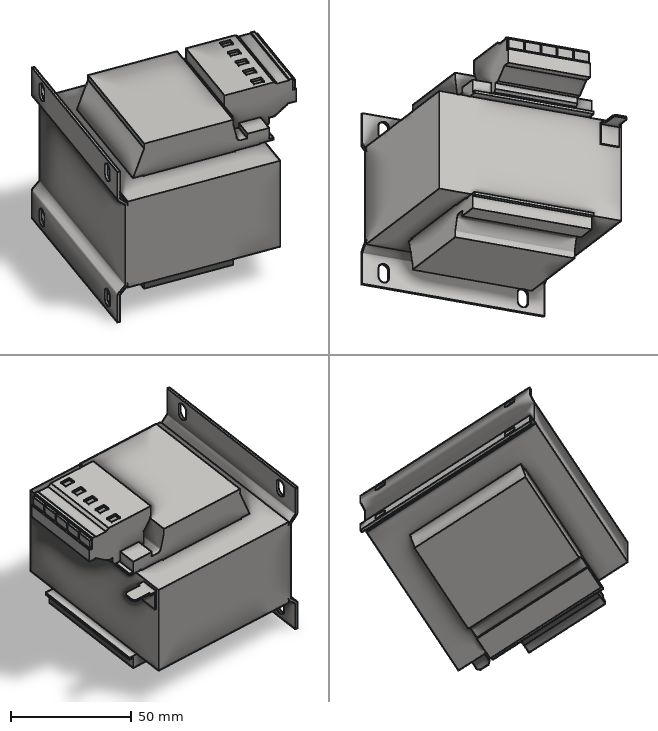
import cadquery as cq
import math


width = 84.0
depth = 92.9
height = 82.7

bracket_height = 76.2
sheet = 1.2
foot_offset = 3.5
back_plate_half = 20.25
bend_inner_radius = 0.9
slot_width = 4.8
slot_length = 8.3
slot_spacing_x = 64.2
slot_spacing_z = 63.45

core_height = 43.6
core_front = foot_offset + sheet
core_back = 74.7
core_half = core_height / 2

window_front = 18.7
window_back = 60.7
coil_width = 55.0
window_gap = 0.4

coil_front = 19.0
coil_back = 59.9
groove_front = 62.0
groove_floor = 26.4
groove_radius = 2.0
rail_front = 66.4
rail_back = 76.5
rail_height = 28.7
lip_back = 78.4
lip_top = 23.2
lip_bottom = 22.1

pole_count = 5
pole_pitch = 7.5
terminal_width = 37.8
terminal_top = height - bracket_height / 2
terminal_front = coil_back
front_slope_top = 38.6
front_slope_bottom = 32.7
stem_front = 63.8
stem_back = 80.45
stem_bottom = 23.5
stem_chamfer = 1.1
underside_front = 82.9
underside_back = 89.2
stem_shoulder = 27.2
entry_bottom = 31.9
entry_top = 38.1
rear_face = 91.3
rear_lip_top = 43.85
rear_lip_front = 89.7
recess_back = 89.6
recess_front = 84.1
recess_floor = 43.5
top_back = 82.6
lever_width = 6.9
lever_back = 92.5
lever_bottom = 38.7
lever_top = 42.7
pocket_width = 3.25
pocket_length = 4.7
pocket_depth = 1.1
pocket_y = 76.8

tab_x = -36.4
tab_sheet = 0.8
tab_bottom = 10.8
tab_top = 20.25
tab_base_width = 8.3
tab_base_back = 77.7
tab_blade_width = 6.3
tab_tip = 85.9
tab_tip_chamfer = 1.0


def box(x_centre, x_size, y_range, z_range):
    """Block centred on x_centre, spanning the given Y and Z ranges."""
    return (
        cq.Workplane("XY")
        .box(x_size, y_range[1] - y_range[0], z_range[1] - z_range[0], centered=(True, False, False))
        .translate((x_centre, y_range[0], z_range[0]))
    )


def extrude_profile(points, x_size):
    """Prism of a (Y, Z) outline, symmetric about X = 0."""
    return cq.Workplane("YZ").polyline(points).close().extrude(x_size / 2, both=True)


def make_bracket():
    half = bracket_height / 2
    bend_out = back_plate_half + foot_offset
    shift = sheet * math.tan(math.radians(22.5))
    outer_half = [(foot_offset, back_plate_half), (0, bend_out), (0, half)]
    inner_half = [(sheet, half), (sheet, bend_out + shift), (core_front, back_plate_half + shift)]
    upper = outer_half + inner_half
    lower = [(y, -z) for y, z in reversed(upper)]
    bracket = extrude_profile(upper + lower, width)

    bend_outer_radius = bend_inner_radius + sheet
    tolerance = 0.01
    for side in (1, -1):
        bends = [
            (foot_offset, back_plate_half, bend_inner_radius),
            (core_front, back_plate_half + shift, bend_outer_radius),
            (0, bend_out, bend_outer_radius),
            (sheet, bend_out + shift, bend_inner_radius),
        ]
        for y, z, radius in bends:
            corner = cq.selectors.BoxSelector(
                (-width, y - tolerance, side * z - tolerance),
                (width, y + tolerance, side * z + tolerance),
            )
            bracket = bracket.edges(corner).fillet(radius)

    slots = (
        cq.Workplane("XZ")
        .rarray(slot_spacing_x, slot_spacing_z, 2, 2)
        .slot2D(slot_length, slot_width, 90)
        .extrude(-sheet)
    )
    return bracket.cut(slots)


def make_core():
    core = box(0, width, (core_front, core_back), (-core_half, core_half))
    for side in (1, -1):
        gap_x = side * (coil_width + window_gap) / 2
        core = core.cut(box(gap_x, window_gap, (window_front, window_back), (-core_half, core_half)))
    return core


def make_coil_overhang(top, shoulder, front_foot, lip_front):
    """Upper overhang of the coil former, from the core face to its top."""
    overhang = extrude_profile(
        [
            (front_foot, core_half),
            (coil_front, shoulder),
            (coil_front, top),
            (coil_back, top),
            (coil_back, shoulder),
            (groove_front, groove_floor),
            (rail_front, groove_floor),
            (rail_front, rail_height),
            (rail_back, rail_height),
            (rail_back, lip_top),
            (lip_back, lip_top),
            (lip_back, lip_bottom),
            (lip_front, lip_bottom),
            (lip_front, core_half),
        ],
        coil_width,
    )
    groove_corner = cq.selectors.NearestToPointSelector((0, groove_front, groove_floor))
    return overhang.edges("|X").edges(groove_corner).fillet(groove_radius)


def make_terminal_block():
    block = extrude_profile(
        [
            (terminal_front, terminal_top),
            (terminal_front, front_slope_top),
            (stem_front, front_slope_bottom),
            (stem_front, stem_bottom),
            (stem_back - stem_chamfer, stem_bottom),
            (stem_back, stem_bottom + stem_chamfer),
            (stem_back, stem_shoulder),
            (underside_front, stem_shoulder),
            (underside_back, entry_bottom),
            (depth, entry_bottom),
            (depth, entry_top),
            (rear_face, entry_top),
            (rear_face, rear_lip_top),
            (rear_lip_front, rear_lip_top),
            (recess_back, recess_floor),
            (recess_front, recess_floor),
            (top_back, terminal_top),
        ],
        terminal_width,
    )
    for pole in range(pole_count):
        pole_x = (pole - (pole_count - 1) / 2) * pole_pitch
        lever = box(pole_x, lever_width, (rear_face, lever_back), (lever_bottom, lever_top))
        pocket = box(
            pole_x,
            pocket_width,
            (pocket_y - pocket_length / 2, pocket_y + pocket_length / 2),
            (terminal_top - pocket_depth, terminal_top),
        )
        block = block.union(lever).cut(pocket)
    return block


def make_earth_tab():
    blade_z = (tab_top - tab_sheet, tab_top)
    upright = box(tab_x, tab_base_width, (core_back, core_back + tab_sheet), (tab_bottom, tab_top))
    base = box(tab_x, tab_base_width, (core_back, tab_base_back), blade_z)
    blade = box(tab_x, tab_blade_width, (core_back, tab_tip), blade_z)
    blade = blade.faces(">Y").edges("|Z").chamfer(tab_tip_chamfer)
    return upright.union(base).union(blade)


upper_coil = make_coil_overhang(top=37.7, shoulder=35.3, front_foot=13.9, lip_front=72.2)
lower_coil = make_coil_overhang(top=35.8, shoulder=33.0, front_foot=15.6, lip_front=70.0).mirror("XY")

result = (
    make_core()
    .union(make_bracket())
    .union(upper_coil)
    .union(lower_coil)
    .union(make_terminal_block())
    .union(make_earth_tab())
)